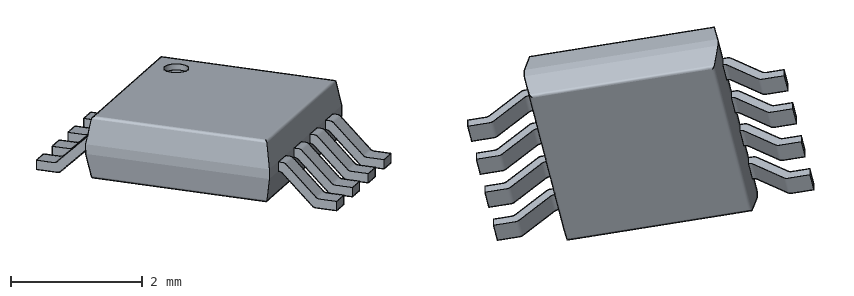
import cadquery as cq
import math

span = 4.9
body_side = 3.0
body_top = 1.1
standoff = 0.1

band_bottom = 0.51
band_height = 0.155
draft_inset = 0.075
edge_radius = 0.045

mark_diameter = 0.375
mark_depth = 0.1
mark_inset = 0.49

leads_per_side = 4
lead_pitch = 0.65
lead_width = 0.3
lead_thickness = 0.15
foot_length = 0.315
shoulder_length = 0.105
bend_radius = 0.085

band_top = band_bottom + band_height
shoulder_top = band_bottom + lead_thickness
half_body = body_side / 2
half_span = span / 2


def tapered_half(start_height, end_height):
    """Half of the body, narrowing from the band to a flat face with rounded edges."""
    face_side = body_side - 2 * draft_inset
    half = (
        cq.Workplane("XY", origin=(0, 0, start_height))
        .rect(body_side, body_side)
        .workplane(offset=end_height - start_height)
        .rect(face_side, face_side)
        .loft(ruled=True)
    )
    face_edges = cq.selectors.BoxSelector(
        (-half_body, -half_body, end_height - edge_radius),
        (half_body, half_body, end_height + edge_radius),
    )
    return half.edges(face_edges).fillet(edge_radius)


def make_body():
    """Moulded body with its straight band, two tapered halves and pin 1 mark."""
    band = (
        cq.Workplane("XY", origin=(0, 0, band_bottom))
        .rect(body_side, body_side)
        .extrude(band_height)
    )
    upper_half = tapered_half(band_top, body_top)
    lower_half = tapered_half(band_bottom, standoff)
    mark_offset = half_body - mark_inset
    mark = (
        cq.Workplane("XY", origin=(-mark_offset, mark_offset, body_top))
        .circle(mark_diameter / 2)
        .extrude(-mark_depth)
    )
    return band.union(upper_half).union(lower_half).cut(mark)


def make_lead():
    """Gull-wing lead on the -X side, centred on Y = 0 and butting against the band."""
    foot_bend_x = -half_span + foot_length
    shoulder_bend_x = -half_body - shoulder_length
    slope_angle = math.atan2(band_bottom, shoulder_bend_x - foot_bend_x)
    underside_shift = lead_thickness * math.tan(slope_angle / 2)
    strip = (
        cq.Workplane("XZ", origin=(0, lead_width / 2, 0))
        .moveTo(-half_span, 0)
        .lineTo(foot_bend_x + underside_shift, 0)
        .lineTo(shoulder_bend_x + underside_shift, band_bottom)
        .lineTo(-half_body, band_bottom)
        .lineTo(-half_body, shoulder_top)
        .lineTo(shoulder_bend_x, shoulder_top)
        .lineTo(foot_bend_x, lead_thickness)
        .lineTo(-half_span, lead_thickness)
        .close()
        .extrude(lead_width)
    )
    bend_zone = cq.selectors.BoxSelector(
        (-half_span + foot_length / 2, -lead_width, -lead_thickness),
        (-half_body - shoulder_length / 10, lead_width, body_top),
    )
    return strip.edges("|Y").edges(bend_zone).fillet(bend_radius)


body = make_body()
left_lead = make_lead()
right_lead = left_lead.mirror("YZ")

leads = []
for index in range(leads_per_side):
    lead_y = (index - (leads_per_side - 1) / 2) * lead_pitch
    for lead in (left_lead, right_lead):
        leads.append(lead.translate((0, lead_y, 0)).val())

result = cq.Compound.makeCompound([body.val(), *leads])